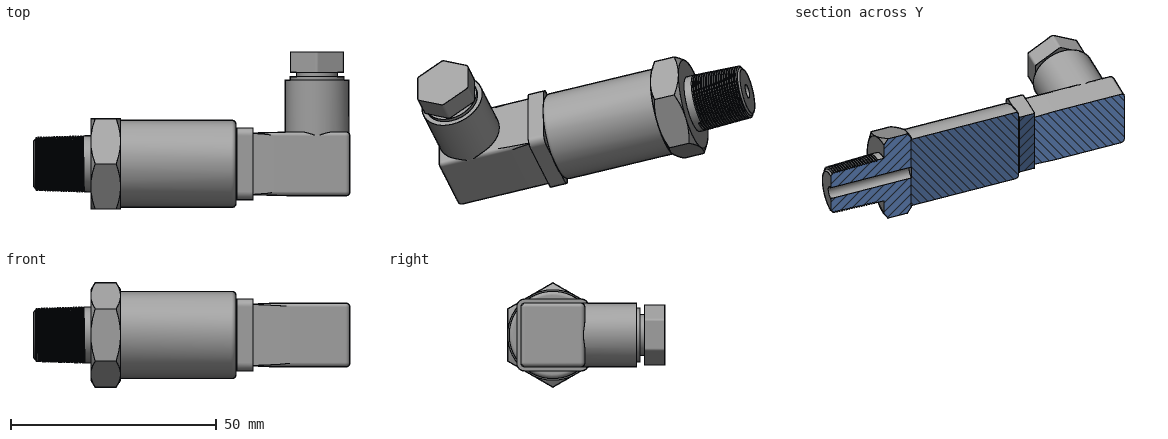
import cadquery as cq
import math


thread_length = 12.8
fitting_hex_start = 13.9
sleeve_start = 21.15
sleeve_end = 49.2
socket_start = 49.4
plug_start = 53.4
plug_end = 76.9

hex_across_flats = 22.0
hex_chamfer_angle = 32.0
collar_radius = 6.85
crest_slope = 1 / 32
tip_face_radius = 5.5
tip_chamfer = 0.45
lead_in_end = 0.7
port_diameter = 3.3

thread_pitch = 0.645
groove_depth = 0.345
groove_width = 0.45
groove_overlap = 0.1
groove_start = lead_in_end
section_turns = 3
section_count = 6
section_length = section_turns * thread_pitch

sleeve_diameter = 21.2
sleeve_end_fillet = 1.0

socket_side = 17.5
socket_corner_radius = 1.9

plug_side = 15.5
plug_edge_fillet = 1.0
relief_depth = 0.2
side_relief_end = 62.5
top_relief_end = 58.4

gland_x = 68.9
barrel_diameter = 15.5
barrel_end = 20.4
ring_diameter = 13.15
ring_end = 21.2
neck_diameter = 10.0
nut_start = 22.2
nut_end = 27.2
nut_across_flats = 12.9
nut_edge_fillet = 0.8


def cylinder_x(diameter, start, end):
    """Cylinder on the X axis between two X positions."""
    return cq.Workplane("YZ", origin=(start, 0, 0)).circle(diameter / 2).extrude(end - start)


def gland_plane(y):
    """Plane square to the gland axis at a given Y, facing +Y, with its local X along -X."""
    return cq.Workplane(cq.Plane(origin=(gland_x, y, 0), xDir=(-1, 0, 0), normal=(0, 1, 0)))


def gland_cylinder(diameter, start, end):
    """Cylinder on the gland axis between two Y positions."""
    return gland_plane(start).circle(diameter / 2).extrude(end - start)


def crest_radius(x):
    """Radius of the thread crests at a position along the taper."""
    return collar_radius - (thread_length - x) * crest_slope


def make_thread_cutter(start):
    """V-shaped right-hand helical cutter that follows the taper for one section of the thread."""
    radius = crest_radius(start)
    taper_angle = math.degrees(math.atan(crest_slope))
    helix = cq.Wire.makeHelix(
        thread_pitch, section_length, radius, cq.Vector(0, 0, 0), cq.Vector(0, 0, 1), taper_angle
    )
    half_mouth = groove_width / 2 * (groove_depth + groove_overlap) / groove_depth
    cutter = (
        cq.Workplane("XZ")
        .polyline([
            (radius - groove_depth, 0),
            (radius + groove_overlap, half_mouth),
            (radius + groove_overlap, -half_mouth),
        ])
        .close()
        .sweep(cq.Workplane(obj=helix), isFrenet=True)
    )
    return cutter.rotate((0, 0, 0), (0, 1, 0), 90).translate((start, 0, 0))


def cut_thread(stub):
    """Cut the helical groove in sections of whole turns, each starting where the last one ends."""
    for section in range(section_count):
        stub = stub.cut(make_thread_cutter(groove_start + section * section_length))
    return stub


def make_fitting_hex():
    """Hexagon with flats on -Y and +Y, its corners turned down to the inscribed circle at both ends."""
    length = sleeve_start - fitting_hex_start
    corner_radius = hex_across_flats / math.sqrt(3)
    flat_radius = hex_across_flats / 2
    run = (corner_radius - flat_radius) * math.tan(math.radians(hex_chamfer_angle))
    hexagon = (
        cq.Workplane("YZ", origin=(fitting_hex_start, 0, 0))
        .polygon(6, 2 * corner_radius)
        .extrude(length)
        .rotate((0, 0, 0), (1, 0, 0), 30)
    )
    turned_profile = (
        cq.Workplane("XY")
        .polyline([
            (fitting_hex_start, 0),
            (fitting_hex_start, flat_radius),
            (fitting_hex_start + run, corner_radius),
            (sleeve_start - run, corner_radius),
            (sleeve_start, flat_radius),
            (sleeve_start, 0),
        ])
        .close()
        .revolve(360, (0, 0, 0), (1, 0, 0))
    )
    return hexagon.intersect(turned_profile)


def make_fitting():
    """Tapered threaded stub and hexagon with a pressure port through both."""
    stub = (
        cq.Workplane("XY")
        .polyline([
            (0, 0),
            (0, tip_face_radius),
            (tip_chamfer, tip_face_radius + tip_chamfer),
            (lead_in_end, crest_radius(lead_in_end)),
            (thread_length, collar_radius),
            (fitting_hex_start, collar_radius),
            (fitting_hex_start, 0),
        ])
        .close()
        .revolve(360, (0, 0, 0), (1, 0, 0))
    )
    threaded_stub = cut_thread(stub)
    return threaded_stub.union(make_fitting_hex()).cut(cylinder_x(port_diameter, 0, sleeve_start))


def make_sleeve():
    """Round body with a rounded rim at its plug end."""
    return cylinder_x(sleeve_diameter, sleeve_start, sleeve_end).faces(">X").edges().fillet(sleeve_end_fillet)


def make_socket():
    """Square plate with rounded corners between sleeve and plug."""
    return (
        cq.Workplane("YZ", origin=(socket_start, 0, 0))
        .rect(socket_side, socket_side)
        .extrude(plug_start - socket_start)
        .edges("|X")
        .fillet(socket_corner_radius)
    )


def make_relief(relief_end):
    """Long wedge that leans the top side of the plug inward toward the socket."""
    half_side = plug_side / 2
    return (
        cq.Workplane("XZ")
        .polyline([
            (plug_start, half_side - relief_depth),
            (relief_end, half_side),
            (plug_start, half_side),
        ])
        .close()
        .extrude(half_side, both=True)
    )


def make_plug():
    """Square housing with rounded edges, leaning sides at the socket and a barrel toward +Y."""
    housing = (
        cq.Workplane("YZ", origin=(plug_start, 0, 0))
        .rect(plug_side, plug_side)
        .extrude(plug_end - plug_start)
        .edges("|X or >X")
        .fillet(plug_edge_fillet)
    )
    for turn in range(4):
        relief_end = top_relief_end if turn % 2 == 0 else side_relief_end
        housing = housing.cut(make_relief(relief_end).rotate((0, 0, 0), (1, 0, 0), 90 * turn))
    return housing.union(gland_cylinder(barrel_diameter, 0, barrel_end))


def make_gland_ring():
    """Plain ring on the end of the barrel, around the neck of the nut."""
    ring = gland_cylinder(ring_diameter, barrel_end, ring_end)
    return ring.cut(gland_cylinder(neck_diameter, barrel_end, ring_end))


def make_gland_nut():
    """Hexagonal nut with flats on -X and +X, and a neck that reaches through the ring to the barrel."""
    corner_diameter = 2 * nut_across_flats / math.sqrt(3)
    head = (
        gland_plane(nut_start)
        .polygon(6, corner_diameter)
        .extrude(nut_end - nut_start)
        .rotate((gland_x, 0, 0), (gland_x, 1, 0), 30)
        .edges("|Y")
        .fillet(nut_edge_fillet)
    )
    return head.union(gland_cylinder(neck_diameter, barrel_end, nut_start))


fitting = make_fitting()
sleeve = make_sleeve()
socket = make_socket()
plug = make_plug()
gland_ring = make_gland_ring()
gland_nut = make_gland_nut()

bodies = [fitting, sleeve, socket, plug, gland_ring, gland_nut]
result = cq.Compound.makeCompound([body.solids().val() for body in bodies])